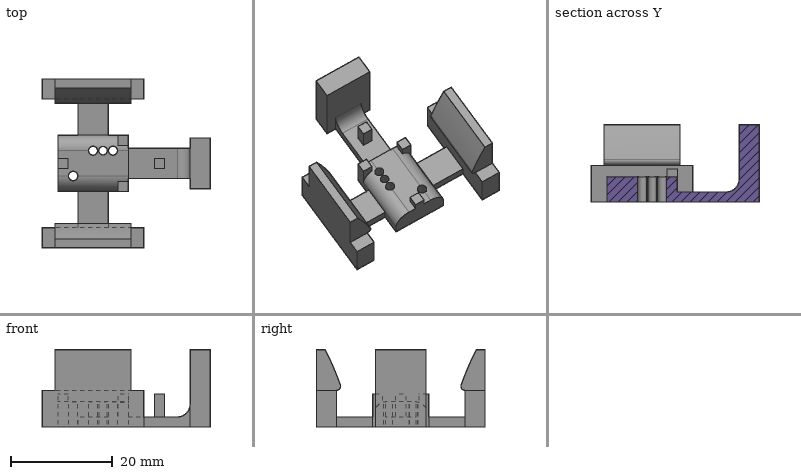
import cadquery as cq
import math

overall_length = 33.05
overall_width = 33.2
overall_height = 15.2

block_length = 20.0
block_depth = 4.0
block_height = 7.2
jaw_length = 15.0
jaw_top_depth = 1.75
jaw_tip_diameter = 1.63
jaw_tip_radius = jaw_tip_diameter / 2
jaw_slope_angle = math.radians(21)
jaw_face_bulge = 0.13

arm_width = 5.98
arm_thickness = 2.0

saddle_length = 13.88
saddle_width = 11.1
saddle_height = 5.0
saddle_radius = 3.02

plate_thickness = 4.0
plate_width = 10.0
plate_fillet = 2.5

peg_side = 2.0
peg_top = 6.5
arm_peg_x = 23.05

hole_pitch = 1.95
hole_offset_y = 2.5
row_diameters = (1.73, 1.63, 1.73)
single_hole_diameter = 1.8
single_hole_offset_x = 3.92

center_x = block_length / 2
saddle_start = center_x - saddle_length / 2
saddle_end = center_x + saddle_length / 2
plate_start = overall_length - plate_thickness


def box(length, width, height, x, y):
    """Box standing on the base plane, centred on x and y."""
    return cq.Workplane("XY").box(length, width, height, centered=(True, True, False)).translate((x, y, 0))


def make_jaw():
    """Jaw on the -Y side, with a slightly bulging face and a rounded inner tip."""
    outer_y = -overall_width / 2
    top_y = outer_y + jaw_top_depth
    tip_y = outer_y + block_depth
    tip_z = block_height + jaw_tip_radius

    def tip_point(angle):
        return (tip_y + jaw_tip_radius * math.cos(angle), tip_z + jaw_tip_radius * math.sin(angle))

    face_end = tip_point(jaw_slope_angle)
    face_middle = (
        (top_y + face_end[0]) / 2 + jaw_face_bulge * math.cos(jaw_slope_angle),
        (overall_height + face_end[1]) / 2 + jaw_face_bulge * math.sin(jaw_slope_angle),
    )
    return (
        cq.Workplane("YZ", origin=(center_x, 0, 0))
        .moveTo(outer_y, block_height)
        .lineTo(outer_y, overall_height)
        .lineTo(top_y, overall_height)
        .threePointArc(face_middle, face_end)
        .threePointArc(tip_point(-math.pi / 4), (tip_y, block_height))
        .close()
        .extrude(jaw_length / 2, both=True)
    )


def make_side():
    """Side block with its jaw, on the -Y side."""
    block_y = (block_depth - overall_width) / 2
    return box(block_length, block_depth, block_height, center_x, block_y).union(make_jaw())


def make_saddle():
    """Block with its two long upper edges rounded."""
    saddle = box(saddle_length, saddle_width, saddle_height, center_x, 0)
    return saddle.edges("|X and >Z").fillet(saddle_radius)


def make_end_arm():
    """Arm along X running up into the end plate through a concave fillet."""
    fillet_start = plate_start - plate_fillet
    fillet_top = arm_thickness + plate_fillet
    fillet_middle = (
        fillet_start + plate_fillet * math.sin(math.pi / 4),
        fillet_top - plate_fillet * math.cos(math.pi / 4),
    )
    arm = (
        cq.Workplane("XZ")
        .moveTo(center_x, 0)
        .lineTo(center_x, arm_thickness)
        .lineTo(fillet_start, arm_thickness)
        .threePointArc(fillet_middle, (plate_start, fillet_top))
        .lineTo(plate_start, 0)
        .close()
        .extrude(arm_width / 2, both=True)
    )
    plate_x = plate_start + plate_thickness / 2
    return arm.union(box(plate_thickness, plate_width, overall_height, plate_x, 0))


def make_hole(x, y, diameter):
    """Cutter for a vertical hole through the saddle."""
    return cq.Workplane("XY").center(x, y).circle(diameter / 2).extrude(saddle_height)


side = make_side()
cross_arm = box(arm_width, overall_width - 2 * block_depth, arm_thickness, center_x, 0)
result = make_saddle().union(cross_arm).union(make_end_arm()).union(side).union(side.mirror("XZ"))

corner_peg_y = (saddle_width - peg_side) / 2
peg_places = (
    (saddle_start + peg_side / 2, 0),
    (saddle_end - peg_side / 2, corner_peg_y),
    (saddle_end - peg_side / 2, -corner_peg_y),
    (arm_peg_x, 0),
)
for x, y in peg_places:
    result = result.union(box(peg_side, peg_side, peg_top, x, y))

for index, diameter in enumerate(row_diameters):
    result = result.cut(make_hole(center_x + index * hole_pitch, hole_offset_y, diameter))
result = result.cut(make_hole(center_x - single_hole_offset_x, -hole_offset_y, single_hole_diameter))